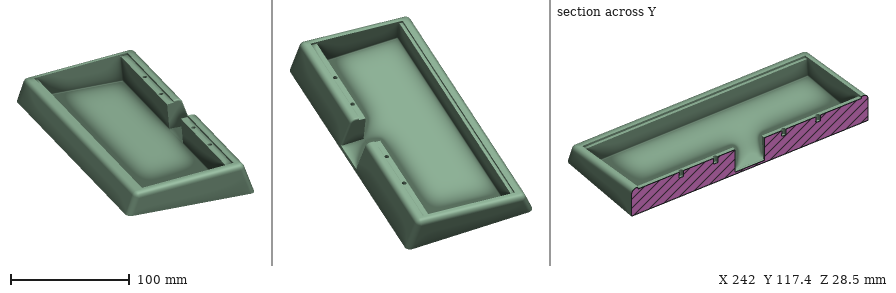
import cadquery as cq
import math

length = 242.0
depth = 117.4
height = 28.5
wall_lean = 20.0
top_tilt = 5.0
outer_radius = 4.8

end_wall = 7.0
recess_front = 14.5
recess_back = 99.7
recess_depth = 2.0
cavity_front = 17.5
cavity_back = 93.7
cavity_radius = 1.0
floor_height = 2.5

notch_width = 29.5
floor_step = 0.2
notch_floor = floor_height + floor_step
notch_radius = 1.5

hole_diameter = 3.9
hole_depth = 6.0
hole_offsets = (34.8, 70.0)
hole_y = 96.8

lean_angle = math.radians(wall_lean)
tilt_angle = math.radians(top_tilt)
lean = math.tan(lean_angle)
slope = math.tan(tilt_angle)
mid_x = length / 2

ridge_axis_z = height - outer_radius
ridge_axis_y = depth - ridge_axis_z * lean - outer_radius / math.cos(lean_angle)
top_height_at_front = ridge_axis_z + outer_radius / math.cos(tilt_angle) - ridge_axis_y * slope


def top_height(y):
    """Height of the tilted top plane at a given distance from the front."""
    return top_height_at_front + y * slope


def side_prism(points, x_start, x_end):
    """Extrude a closed Y-Z outline along X."""
    profile = cq.Workplane("YZ", origin=(x_start, 0, 0)).polyline(points).close()
    return profile.extrude(x_end - x_start)


def make_body():
    front_edge_z = top_height_at_front / (1 - lean * slope)
    back_edge_z = top_height(depth) / (1 + lean * slope)
    outline = [
        (0, 0),
        (depth, 0),
        (depth - back_edge_z * lean, back_edge_z),
        (front_edge_z * lean, front_edge_z),
    ]
    body = side_prism(outline, 0, length)
    return body.edges("not <Z").fillet(outer_radius)


def tilted_pocket(front, back, side_inset, bottom):
    """Pocket volume square to the top plane; bottom(y) gives its floor height."""
    def down(y):
        z = bottom(y)
        return (y + (top_height(y) - z) * slope, z)

    def up(y):
        return (y - height * slope, top_height(y) + height)

    outline = [up(front), down(front), down(back), up(back)]
    return side_prism(outline, side_inset, length - side_inset)


def recess_floor(y):
    return top_height(y) - recess_depth


def cavity_floor(y):
    return floor_height


def make_cavity():
    pocket = tilted_pocket(cavity_front, cavity_back, end_wall, cavity_floor)
    return pocket.edges().fillet(cavity_radius)


def cut_notch(body):
    notch_start = (cavity_front + cavity_back) / 2
    notch = cq.Workplane("XY").box(
        notch_width, depth, height, centered=(True, False, False)
    ).translate((mid_x, notch_start, notch_floor))
    return body.cut(notch)


def round_notch_corners(body):
    """Round the upright and rim corners on both sides of the notch."""
    margin = notch_radius / 5
    corners = cq.selectors.BoxSelector(
        (mid_x - notch_width / 2 - margin, recess_back, notch_floor + margin),
        (mid_x + notch_width / 2 + margin, depth, height + margin),
    )
    return body.edges(corners).edges("#X").fillet(notch_radius)


def make_holes():
    ledge_point = (mid_x, hole_y, recess_floor(hole_y))
    normal = (0, -math.sin(tilt_angle), math.cos(tilt_angle))
    ledge = cq.Plane(origin=ledge_point, xDir=(1, 0, 0), normal=normal)
    places = [(side * offset, 0) for side in (-1, 1) for offset in hole_offsets]
    clearance = recess_depth / 2
    drill = cq.Workplane(ledge).workplane(offset=clearance).pushPoints(places)
    return drill.circle(hole_diameter / 2).extrude(-hole_depth - clearance)


body = make_body()
body = cut_notch(body)
body = round_notch_corners(body)
body = body.cut(tilted_pocket(recess_front, recess_back, end_wall, recess_floor))
body = body.cut(make_cavity())
result = body.cut(make_holes())